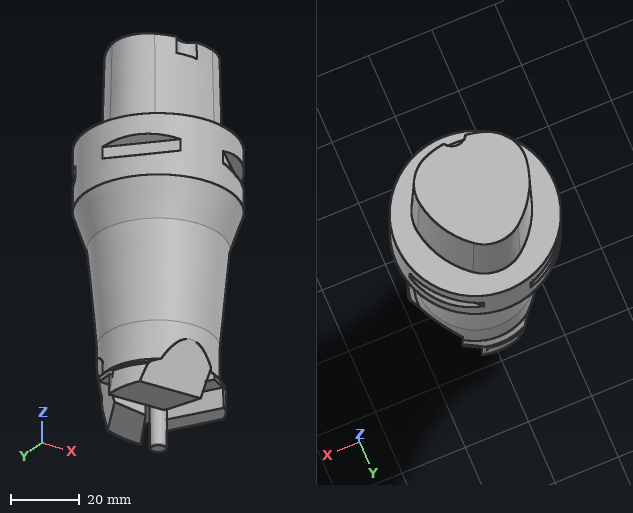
import cadquery as cq
import math


SHANK_LENGTH = 30.0
LOBE_REACH = 18.7
FLAT_REACH = 16.5
LOBE_RADIUS = 12.1
TAPER_ANGLE = math.degrees(math.atan(1 / 40))
KEYWAY_DEPTH = 5.4
KEYWAY_RADIUS = 4.0
KEYWAY_CENTER_Y = -17.6

FLANGE_RADIUS = 25.0
FLANGE_BOTTOM = -20.0
SHOULDER_RADIUS = 20.9
SHOULDER_BOTTOM = -32.2
NECK_RADIUS = 18.0
NECK_TOP = -64.0
FLARE_TOP = -76.6
FLARE_RADIUS = 19.5
FLARE_BOTTOM = -78.1
HEAD_RADIUS = 19.8
HEAD_RIM_TOP = -78.9
HEAD_BOTTOM = -86.0

GROOVE_COUNT = 4
FIRST_GROOVE_DIRECTION = 45.0
GROOVE_Z = -9.95
GROOVE_FLOOR_DISTANCE = 22.1
GROOVE_FLOOR_WIDTH = 3.7
GROOVE_WALL_ANGLE = 28.0

TEETH = [(270.0, 303.5), (154.0, 180.0), (32.0, 62.0)]
MODELLED_SEAT_DIRECTION = 180.0
GULLET_ANGLE = 17.0
GULLET_RUNOUT_Z = -69.0
GULLET_TOP = -67.0
GULLET_WALL_OFFSET = 2.1
SEAT_WALL_OFFSET = 3.65
SEAT_TOP = -79.3
SEAT_INNER_REACH = 2.5
LAND_TOP_DISTANCE = 18.9
LAND_BOTTOM_DISTANCE = 19.35
RELIEF_RISE = 1.5
RELIEF_RUN = 9.6

PIN_RADIUS = 5.01 / 2
PIN_OVERLAP = 1.0
PIN_TOP = SEAT_TOP + PIN_OVERLAP
PIN_BOTTOM = -97.0
PIN_CHAMFER_HEIGHT = 0.5
PIN_CHAMFER_WIDTH = 0.15

CLEARANCE = 40.0


def polar(radius, angle):
    a = math.radians(angle)
    return (radius * math.cos(a), radius * math.sin(a))


def box_between(x, y, z):
    """Axis-aligned box given its (low, high) range along each axis."""
    size = [high - low for low, high in (x, y, z)]
    return cq.Workplane("XY").box(*size, centered=False).translate((x[0], y[0], z[0]))


def turn(shape, angle):
    return shape.rotate((0, 0, 0), (0, 0, 1), angle)


def make_shank():
    lobe_center = LOBE_REACH - LOBE_RADIUS
    gap = FLAT_REACH - LOBE_RADIUS
    flat_center = (lobe_center**2 - gap**2) / (2 * gap - lobe_center)
    joint_turn = math.degrees(
        math.atan2(
            flat_center * math.sin(math.radians(60)),
            lobe_center + flat_center * math.cos(math.radians(60)),
        )
    )

    def joint(lobe_angle, side):
        cx, cy = polar(lobe_center, lobe_angle)
        dx, dy = polar(LOBE_RADIUS, lobe_angle + side * joint_turn)
        return (cx + dx, cy + dy)

    outline = cq.Workplane("XY").moveTo(*joint(90, -1))
    for lobe_angle in (90, 210, 330):
        outline = outline.threePointArc(polar(LOBE_REACH, lobe_angle), joint(lobe_angle, 1))
        outline = outline.threePointArc(polar(FLAT_REACH, lobe_angle + 60), joint(lobe_angle + 120, -1))
    shank = outline.close().extrude(SHANK_LENGTH, taper=TAPER_ANGLE)
    keyway = (
        cq.Workplane("XY", origin=(0, KEYWAY_CENTER_Y, SHANK_LENGTH - KEYWAY_DEPTH))
        .circle(KEYWAY_RADIUS)
        .extrude(KEYWAY_DEPTH)
    )
    return shank.cut(keyway)


def make_turned_body():
    profile = [
        (0, 0),
        (FLANGE_RADIUS, 0),
        (FLANGE_RADIUS, FLANGE_BOTTOM),
        (SHOULDER_RADIUS, SHOULDER_BOTTOM),
        (NECK_RADIUS, NECK_TOP),
        (NECK_RADIUS, FLARE_TOP),
        (FLARE_RADIUS, FLARE_BOTTOM),
        (HEAD_RADIUS, HEAD_RIM_TOP),
        (HEAD_RADIUS, HEAD_BOTTOM),
        (0, HEAD_BOTTOM),
    ]
    return cq.Workplane("XZ").polyline(profile).close().revolve(360, (0, 0), (0, 1))


def make_groove():
    """Straight trapezoidal groove across the +X side of the flange."""
    half_floor = GROOVE_FLOOR_WIDTH / 2
    depth = FLANGE_RADIUS - GROOVE_FLOOR_DISTANCE
    half_mouth = half_floor + depth * math.tan(math.radians(GROOVE_WALL_ANGLE))
    section = [
        (GROOVE_FLOOR_DISTANCE, GROOVE_Z - half_floor),
        (GROOVE_FLOOR_DISTANCE, GROOVE_Z + half_floor),
        (FLANGE_RADIUS, GROOVE_Z + half_mouth),
        (FLANGE_RADIUS, GROOVE_Z - half_mouth),
    ]
    return cq.Workplane("XZ").polyline(section).close().extrude(FLANGE_RADIUS, both=True)




def make_gullet(gullet_direction, seat_direction):
    """Inclined flat that stops at an upright wall beside the insert seat."""
    slope = math.tan(math.radians(GULLET_ANGLE))
    section = [
        (NECK_RADIUS + (GULLET_TOP - GULLET_RUNOUT_Z) * slope, GULLET_TOP),
        (NECK_RADIUS + (HEAD_BOTTOM - GULLET_RUNOUT_Z) * slope, HEAD_BOTTOM),
        (CLEARANCE, HEAD_BOTTOM),
        (CLEARANCE, GULLET_TOP),
    ]
    flat = cq.Workplane("XZ").polyline(section).close().extrude(CLEARANCE, both=True)
    ahead_of_wall = box_between(
        (-CLEARANCE, CLEARANCE), (GULLET_WALL_OFFSET, CLEARANCE), (HEAD_BOTTOM, GULLET_TOP)
    )
    ahead_of_wall = turn(ahead_of_wall, seat_direction - MODELLED_SEAT_DIRECTION)
    return turn(flat, gullet_direction).intersect(ahead_of_wall)


def make_seat():
    return box_between(
        (-CLEARANCE, SEAT_INNER_REACH), (-SEAT_WALL_OFFSET, GULLET_WALL_OFFSET), (HEAD_BOTTOM, SEAT_TOP)
    )


def make_land():
    """Slightly inclined flat shaved off the rim on both sides of the seat wall."""
    section = [
        (-LAND_TOP_DISTANCE, FLARE_TOP),
        (-LAND_BOTTOM_DISTANCE, HEAD_BOTTOM),
        (-CLEARANCE, HEAD_BOTTOM),
        (-CLEARANCE, FLARE_TOP),
    ]
    flat = cq.Workplane("XZ").polyline(section).close().extrude(CLEARANCE, both=True)
    behind_gullet_wall = box_between(
        (-CLEARANCE, 0), (-CLEARANCE, GULLET_WALL_OFFSET), (HEAD_BOTTOM, FLARE_TOP)
    )
    return flat.intersect(behind_gullet_wall)


def make_relief(seat_direction, next_seat_direction):
    """Wedge that lifts the end face behind a cutting edge, up to the next seat wall."""
    reach = CLEARANCE - SEAT_WALL_OFFSET
    section = [
        (-SEAT_WALL_OFFSET, HEAD_BOTTOM),
        (-CLEARANCE, HEAD_BOTTOM),
        (-CLEARANCE, HEAD_BOTTOM + reach * RELIEF_RISE / RELIEF_RUN),
    ]
    wedge = cq.Workplane("YZ").polyline(section).close().extrude(CLEARANCE, both=True)
    before_next_seat = box_between(
        (-2 * CLEARANCE, 2 * CLEARANCE), (-SEAT_WALL_OFFSET, 2 * CLEARANCE), (HEAD_BOTTOM, SEAT_TOP)
    )
    wedge = turn(wedge, seat_direction - MODELLED_SEAT_DIRECTION)
    return wedge.intersect(turn(before_next_seat, next_seat_direction - MODELLED_SEAT_DIRECTION))


def make_pin():
    profile = [
        (0, PIN_TOP),
        (PIN_RADIUS, PIN_TOP),
        (PIN_RADIUS, PIN_BOTTOM + PIN_CHAMFER_HEIGHT),
        (PIN_RADIUS - PIN_CHAMFER_WIDTH, PIN_BOTTOM),
        (0, PIN_BOTTOM),
    ]
    return cq.Workplane("XZ").polyline(profile).close().revolve(360, (0, 0), (0, 1))


body = make_turned_body()
for i in range(GROOVE_COUNT):
    body = body.cut(turn(make_groove(), FIRST_GROOVE_DIRECTION + i * 360 / GROOVE_COUNT))

for i, (gullet_direction, seat_direction) in enumerate(TEETH):
    next_seat_direction = TEETH[i - 1][1]
    seat_turn = seat_direction - MODELLED_SEAT_DIRECTION
    body = body.cut(make_relief(seat_direction, next_seat_direction))
    body = body.cut(make_gullet(gullet_direction, seat_direction))
    body = body.cut(turn(make_seat(), seat_turn))
    body = body.cut(turn(make_land(), seat_turn))

result = body.union(make_shank()).union(make_pin())